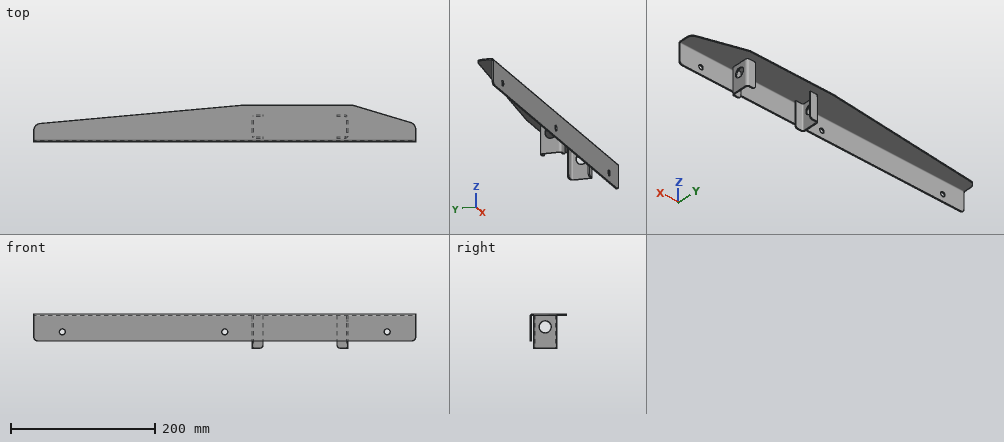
import cadquery as cq

LENGTH = 530.0
DEPTH = 51.0
FRONT_HEIGHT = 37.5
SHEET = 2.0
COVER_BEND = 3.5
END_DEPTH = 25.0
CREST_START = 22.0
CREST_END = 178.0
TOP_CORNER = 10.0
FRONT_CORNER = 6.0

SCREW_DIAMETER = 8.0
SCREW_SPACING = 225.0
SCREW_DROP = 25.0

BRACKET_CENTER_X = 104.5
BRACKET_SPAN = 133.0
BRACKET_LEG = 15.5
BRACKET_WIDTH = 32.5
BRACKET_BOTTOM = 47.5
BRACKET_GAP = 5.05
BRACKET_BEND = 4.0
BRACKET_CORNER = 5.0
WEB_HOLE_DIAMETER = 16.5
WEB_HOLE_DROP = 18.0

HALF = LENGTH / 2
WEB_HOLE_Y = BRACKET_GAP + BRACKET_WIDTH / 2



def make_cover():
    angle = (
        cq.Workplane("YZ")
        .moveTo(0, -FRONT_HEIGHT)
        .lineTo(0, -COVER_BEND)
        .radiusArc((COVER_BEND, 0), COVER_BEND)
        .lineTo(DEPTH, 0)
        .lineTo(DEPTH, -SHEET)
        .lineTo(COVER_BEND, -SHEET)
        .radiusArc((SHEET, -COVER_BEND), -(COVER_BEND - SHEET))
        .lineTo(SHEET, -FRONT_HEIGHT)
        .close()
        .extrude(HALF, both=True)
    )
    top_outline = (
        cq.Workplane("XY")
        .polyline([
            (-HALF, 0),
            (HALF, 0),
            (HALF, END_DEPTH),
            (CREST_END, DEPTH),
            (CREST_START, DEPTH),
            (-HALF, END_DEPTH),
        ])
        .close()
        .extrude(-FRONT_HEIGHT)
        .edges("|Z and (<X or >X) and (not <Y)")
        .fillet(TOP_CORNER)
    )
    front_outline = (
        cq.Workplane("XY")
        .box(LENGTH, DEPTH, FRONT_HEIGHT, centered=(True, False, False))
        .translate((0, 0, -FRONT_HEIGHT))
        .edges("|Y and <Z")
        .fillet(FRONT_CORNER)
    )
    return angle.intersect(top_outline).intersect(front_outline)


def make_screw_holes():
    return (
        cq.Workplane("XZ")
        .pushPoints([(i * SCREW_SPACING, -SCREW_DROP) for i in (-1, 0, 1)])
        .circle(SCREW_DIAMETER / 2)
        .extrude(-SHEET)
    )


def make_left_bracket():
    """Channel with its web on the -X side and its legs pointing to +X."""
    web_x = BRACKET_CENTER_X - BRACKET_SPAN / 2
    outer = (
        cq.Workplane("XY")
        .box(BRACKET_LEG, BRACKET_WIDTH, BRACKET_BOTTOM - SHEET, centered=False)
        .edges("|Z and <X")
        .fillet(BRACKET_BEND)
        .edges("|Y and >X and <Z")
        .fillet(BRACKET_CORNER)
    )
    inner = (
        cq.Workplane("XY")
        .box(BRACKET_LEG, BRACKET_WIDTH - 2 * SHEET, BRACKET_BOTTOM, centered=False)
        .edges("|Z and <X")
        .fillet(BRACKET_BEND - SHEET)
        .translate((SHEET, SHEET, 0))
    )
    web_hole = (
        cq.Workplane("YZ", origin=(web_x, 0, 0))
        .center(WEB_HOLE_Y, -WEB_HOLE_DROP)
        .circle(WEB_HOLE_DIAMETER / 2)
        .extrude(SHEET)
    )
    channel = outer.cut(inner).translate((web_x, BRACKET_GAP, -BRACKET_BOTTOM))
    return channel.cut(web_hole)


left_bracket = make_left_bracket()
right_bracket = left_bracket.mirror("YZ", (BRACKET_CENTER_X, 0, 0))
cover = make_cover().cut(make_screw_holes())
result = cover.union(left_bracket).union(right_bracket)